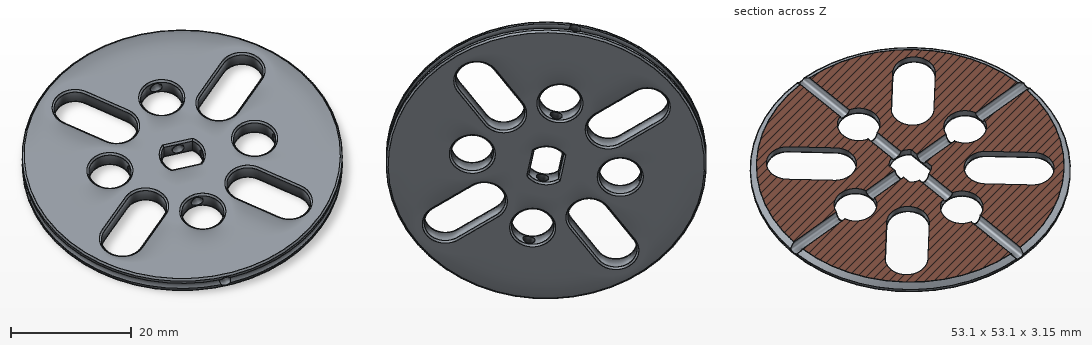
import cadquery as cq
import math

disc_diameter = 53.1
thickness = 3.15
edge_chamfer = 0.3

groove_width = 1.4
groove_depth = 1.0

hole_diameter = 7.0
flat_width = 5.0
hole_circle_radius = 12.5
slot_inner_radius = hole_circle_radius
slot_outer_radius = 20.35
diagonal_angle = 45

cross_hole_diameter = 2.0

disc_radius = disc_diameter / 2
slot_middle_radius = (slot_inner_radius + slot_outer_radius) / 2
slot_length = slot_outer_radius - slot_inner_radius + hole_diameter


def make_grooved_disc():
    """Disc with the V groove, its seam turned away from the cross holes."""
    half_thickness = thickness / 2
    half_groove = groove_width / 2
    return (
        cq.Workplane("XZ")
        .moveTo(0, -half_thickness)
        .lineTo(disc_radius, -half_thickness)
        .lineTo(disc_radius, -half_groove)
        .lineTo(disc_radius - groove_depth, 0)
        .lineTo(disc_radius, half_groove)
        .lineTo(disc_radius, half_thickness)
        .lineTo(0, half_thickness)
        .close()
        .revolve(360, (0, 0, 0), (0, 1, 0))
        .rotate((0, 0, 0), (0, 0, 1), diagonal_angle)
    )


def cut_round_holes(body):
    """Four round holes on the X and Y axes."""
    return (
        body.faces(">Z").workplane(origin=(0, 0, 0))
        .polarArray(hole_circle_radius, 0, 360, 4)
        .circle(hole_diameter / 2)
        .cutThruAll()
    )


def cut_slots(body):
    """Four radial slots on the diagonals."""
    return (
        body.faces(">Z").workplane(origin=(0, 0, 0))
        .polarArray(slot_middle_radius, diagonal_angle, 360, 4)
        .slot2D(slot_length, hole_diameter)
        .cutThruAll()
    )


def cut_centre_hole(body):
    """Central hole with two flats facing along X."""
    half_flat = flat_width / 2
    hole_radius = hole_diameter / 2
    flat_end = math.sqrt(hole_radius**2 - half_flat**2)
    return (
        body.faces(">Z").workplane(origin=(0, 0, 0))
        .moveTo(half_flat, -flat_end)
        .lineTo(half_flat, flat_end)
        .threePointArc((0, hole_radius), (-half_flat, flat_end))
        .lineTo(-half_flat, -flat_end)
        .threePointArc((0, -hole_radius), (half_flat, -flat_end))
        .close()
        .cutThruAll()
    )


def chamfer_face_edges(body):
    """Chamfer the rim and every opening on both faces."""
    return body.faces("|Z").edges().chamfer(edge_chamfer)


def cut_cross_holes(body):
    """Holes at mid thickness, right through the disc along X and along Y."""
    drill = (
        cq.Workplane("YZ")
        .circle(cross_hole_diameter / 2)
        .extrude(disc_diameter, both=True)
        .rotate((0, 0, 0), (1, 0, 0), 90)
    )
    for angle in (0, 90):
        body = body.cut(drill.rotate((0, 0, 0), (0, 0, 1), angle))
    return body


result = make_grooved_disc()
result = cut_round_holes(result)
result = cut_slots(result)
result = cut_centre_hole(result)
result = chamfer_face_edges(result)
result = cut_cross_holes(result)